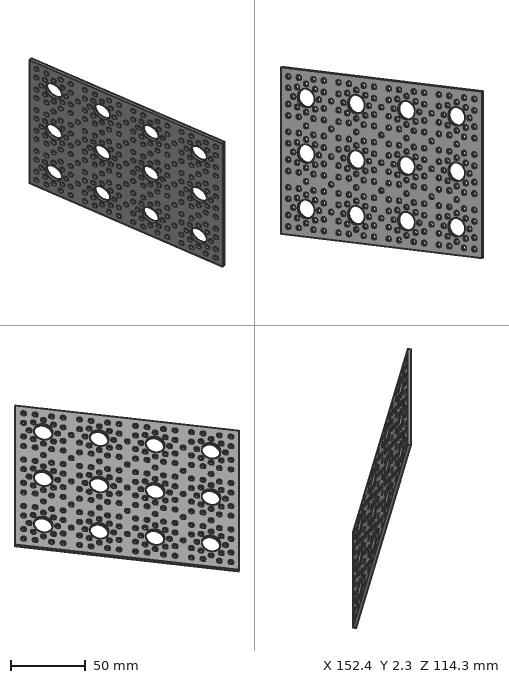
import cadquery as cq
import math

CELL_PITCH = 38.1
COLUMNS = 4
ROWS = 3
THICKNESS = 2.3

BORE_DIAMETER = 12.8
SMALL_HOLE_DIAMETER = 3.5
RING_RADIUS = 9.8
RING_HOLES = 8

CORNER_OFFSET = CELL_PITCH / 2 / math.sqrt(2)
INNER_OFFSET = CORNER_OFFSET * math.tan(math.pi / RING_HOLES)

plate_length = COLUMNS * CELL_PITCH
plate_height = ROWS * CELL_PITCH


def ring_points():
    """Holes evenly spaced on a circle around the bore of a cell."""
    step = 2 * math.pi / RING_HOLES
    return [
        (RING_RADIUS * math.cos(i * step), RING_RADIUS * math.sin(i * step))
        for i in range(RING_HOLES)
    ]


def square_points():
    """Holes on the sides and corners of the outer square of a cell."""
    offsets = (-CORNER_OFFSET, -INNER_OFFSET, INNER_OFFSET, CORNER_OFFSET)
    return [(x, z) for x in offsets for z in offsets if CORNER_OFFSET in (abs(x), abs(z))]


def cell_centres():
    return [
        ((column - (COLUMNS - 1) / 2) * CELL_PITCH, (row - (ROWS - 1) / 2) * CELL_PITCH)
        for column in range(COLUMNS)
        for row in range(ROWS)
    ]


def between_cell_points():
    """Half-pitch grid between the outermost bores, leaving out the bores themselves."""
    half_pitch = CELL_PITCH / 2
    return [
        ((i - (COLUMNS - 1)) * half_pitch, (j - (ROWS - 1)) * half_pitch)
        for i in range(2 * COLUMNS - 1)
        for j in range(2 * ROWS - 1)
        if i % 2 == 1 or j % 2 == 1
    ]


def through_holes(points, diameter):
    """Cylinders along Y that span the plate thickness."""
    return (
        cq.Workplane("XZ")
        .pushPoints(points)
        .circle(diameter / 2)
        .extrude(THICKNESS / 2, both=True)
    )


centres = cell_centres()
small_hole_points = between_cell_points() + [
    (centre_x + x, centre_z + z)
    for centre_x, centre_z in centres
    for x, z in ring_points() + square_points()
]

plate = cq.Workplane("XY").box(plate_length, THICKNESS, plate_height)
result = (
    plate
    .cut(through_holes(centres, BORE_DIAMETER))
    .cut(through_holes(small_hole_points, SMALL_HOLE_DIAMETER))
)